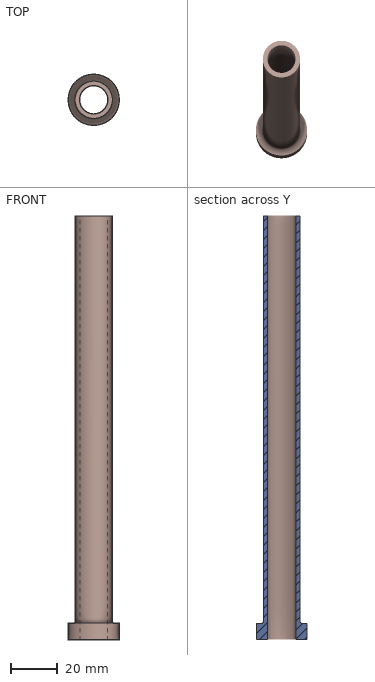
import cadquery as cq

total_length = 182.0

head_diameter = 22.0
tube_diameter = 16.0
bore_diameter = 12.0

head_height = 7.1
neck_fillet_radius = 0.64

head = cq.Workplane("XY").circle(head_diameter / 2).extrude(head_height)
tube = cq.Workplane("XY").circle(tube_diameter / 2).extrude(total_length)
body = head.union(tube)

head_top = body.faces(cq.selectors.NearestToPointSelector((0, 0, head_height)))
neck_edge = head_top.edges(cq.selectors.RadiusNthSelector(0))
body = neck_edge.fillet(neck_fillet_radius)

bore = cq.Workplane("XY").circle(bore_diameter / 2).extrude(total_length)
result = body.cut(bore)